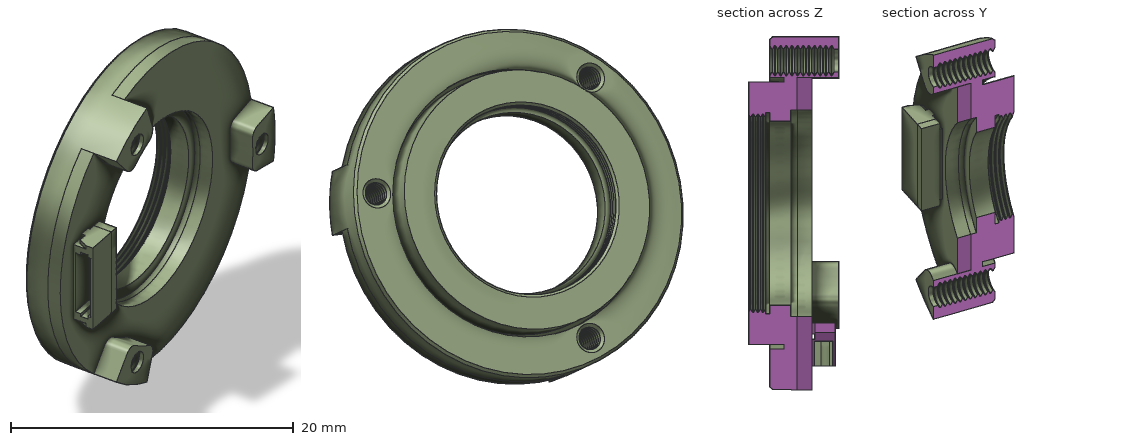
import cadquery as cq
import math

flange_front = 1.5
bore_rear = 3.0
board_front = 3.45
board_rear = 4.5
tab_rear = 6.4

flange_dia = 25.0
flange_chamfer = 0.2
boss_dia = 18.6
groove_dia = 19.2
groove_depth = 1.0

bore_dia = 13.0
seat_x = 1.5
relief_dia = 14.2
rear_opening_dia = 14.6
bore_thread_major = 14.0
bore_thread_minor = 13.6
bore_thread_pitch = 0.35
bore_thread_turns = 3

first_tab_angle = 0.0
tab_count = 3
tab_span_angle = 21.2
tab_inner_dia = 19.2
tab_fillet = 0.8
hole_circle_dia = 21.6
hole_thread_major = 2.1
hole_thread_minor = 1.6
hole_thread_pitch = 0.4

thread_flank_angle = 30.0

connector_front = -10.8
connector_rear = -8.4
connector_width = 7.0
connector_top = 6.15
connector_standoff = 0.18
foot_rear = -8.9

slot_depth = 1.75
slot_width = 5.05
slot_bottom = 4.68
slot_top = 5.95
slot_key_width = 5.5
slot_key_bottom = 5.12
slot_key_top = 5.72

end_relief_depth = 0.3
end_relief_rear = -9.75
end_relief_bend = -10.42
end_relief_height = 0.32
end_relief_front_height = 1.08

rear_parts_end = -7.75
contact_strip_front = -8.55
contact_strip_width = 6.0


def disc(dia, x_start, x_end):
    """Solid cylinder around the X axis."""
    return cq.Workplane("YZ").workplane(offset=x_start).circle(dia / 2).extrude(x_end - x_start)


def block(x_start, x_end, y_start, y_end, width):
    """Box that is centred on Z."""
    size = (x_end - x_start, y_end - y_start, width)
    return cq.Workplane("XY").box(*size, centered=(False, False, True)).translate((x_start, y_start, 0))


def threaded_core(x_start, x_end, major, minor, pitch, turns):
    """Core with sloped rings, full width at x_start and plain beyond its last ring."""
    flank_run = (major - minor) / 2 * math.tan(math.radians(thread_flank_angle))
    flat = pitch / 2 - flank_run
    points = [(x_start, 0)]
    for turn in range(turns + 1):
        ring_x = x_start + turn * pitch
        if turn > 0:
            points.append((ring_x - flank_run - flat, minor / 2))
            points.append((ring_x - flat, major / 2))
        points.append((ring_x, major / 2))
        points.append((ring_x + flank_run, minor / 2))
    points.append((x_end, minor / 2))
    points.append((x_end, 0))
    return cq.Workplane("XY").polyline(points).close().revolve(360, (0, 0, 0), (1, 0, 0))


def tab_blank():
    """Sector with radial sides around +Y and rounded inner corners, reaching past the flange rim."""
    half_angle = math.radians(tab_span_angle / 2)
    reach = 0.6 * flange_dia
    side_y = reach * math.cos(half_angle)
    side_z = reach * math.sin(half_angle)
    wedge = (
        cq.Workplane("YZ").workplane(offset=board_front)
        .polyline([(0, 0), (side_y, side_z), (side_y, -side_z)]).close()
        .extrude(tab_rear - board_front)
    )
    sector = wedge.cut(disc(tab_inner_dia, board_front, tab_rear))
    inner_side = cq.selectors.BoxSelector((0, 0, -flange_dia), (tab_rear, tab_inner_dia / 2, flange_dia))
    return sector.edges("|X").edges(inner_side).fillet(tab_fillet)


def around_axis(shape):
    """Copies of a shape at the tab positions."""
    step = 360 / tab_count
    return [shape.rotate((0, 0, 0), (1, 0, 0), first_tab_angle + i * step) for i in range(tab_count)]


def make_housing(tabs):
    flange = disc(flange_dia, flange_front, tab_rear).faces("<X").chamfer(flange_chamfer)
    clearance = disc(1.5 * flange_dia, board_front, tab_rear)
    for tab in tabs:
        clearance = clearance.cut(tab)
    flange = flange.cut(clearance)

    groove = disc(groove_dia, flange_front, flange_front + groove_depth)
    housing = flange.cut(groove).union(disc(boss_dia, 0, board_front))

    thread = threaded_core(
        0, seat_x, bore_thread_major, bore_thread_minor, bore_thread_pitch, bore_thread_turns
    )
    relief_start = (bore_thread_turns + 0.5) * bore_thread_pitch
    housing = housing.cut(thread).cut(disc(relief_dia, relief_start, seat_x))
    housing = housing.cut(disc(bore_dia, 0, board_front))
    housing = housing.cut(disc(rear_opening_dia, bore_rear, board_front))

    turns = math.floor((tab_rear - flange_front) / hole_thread_pitch) - 1
    hole = threaded_core(
        flange_front, tab_rear, hole_thread_major, hole_thread_minor, hole_thread_pitch, turns
    ).translate((0, hole_circle_dia / 2, 0))
    for tapped_hole in around_axis(hole):
        housing = housing.cut(tapped_hole)
    return housing


def make_board(tabs):
    board = disc(flange_dia, board_front, board_rear).cut(disc(rear_opening_dia, board_front, board_rear))
    for tab in tabs:
        board = board.cut(tab)
    return board


def make_connector():
    body = block(board_rear, connector_top, connector_front, connector_rear, connector_width)
    standoff_top = board_rear + connector_standoff
    body = body.cut(block(board_rear, standoff_top, foot_rear, connector_rear, connector_width))

    slot_end = connector_front + slot_depth
    body = body.cut(block(slot_bottom, slot_top, connector_front, slot_end, slot_width))
    body = body.cut(block(slot_key_bottom, slot_key_top, connector_front, slot_end, slot_key_width))

    floor_x = board_rear + end_relief_height
    profile = [
        (board_rear, connector_front),
        (board_rear, end_relief_rear),
        (floor_x, end_relief_rear),
        (floor_x, end_relief_bend),
        (board_rear + end_relief_front_height, connector_front),
    ]
    upper_start = connector_width / 2 - end_relief_depth
    upper = (
        cq.Workplane("XY").workplane(offset=upper_start)
        .polyline(profile).close().extrude(end_relief_depth)
    )
    return body.cut(upper).cut(upper.mirror("XY"))


def make_lock_bar():
    bar_bottom = board_rear + connector_standoff
    return block(bar_bottom, connector_top, connector_rear, rear_parts_end, connector_width)


def make_contact_strip():
    strip_top = board_rear + connector_standoff
    return block(board_rear, strip_top, contact_strip_front, rear_parts_end, contact_strip_width)


tabs = around_axis(tab_blank())
housing = make_housing(tabs)
board = make_board(tabs)
connector = make_connector()
lock_bar = make_lock_bar()
contact_strip = make_contact_strip()

result = cq.Compound.makeCompound(
    [housing.val(), board.val(), connector.val(), lock_bar.val(), contact_strip.val()]
)